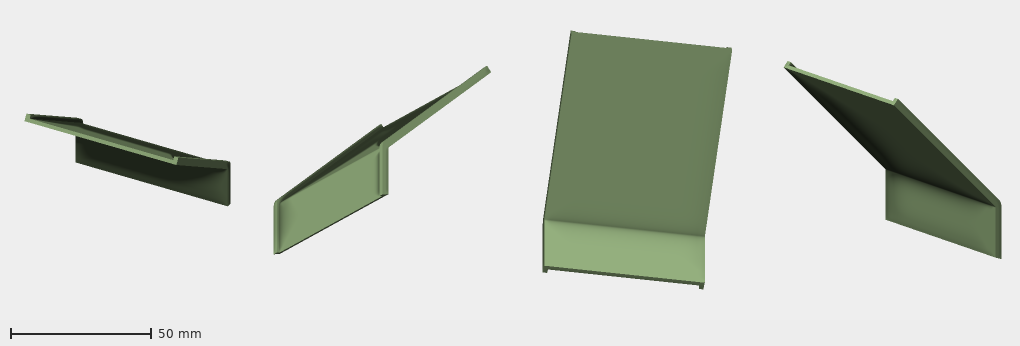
import cadquery as cq
import math

WIDTH = 58.5
RAIL_WIDTH = 1.63
RAIL_THICKNESS = 2.78
WEB_THICKNESS = 1.37
INNER_BEND_RADIUS = 0.8
INNER_LEG_LENGTH = 19.075
INNER_SLOPE_LENGTH = 69.49
SLOPE_ANGLE = math.radians(45)

HALF_BEND = SLOPE_ANGLE / 2


def offset_path(offset):
    """Foot, bend corner and top end of the inner face moved outwards by offset, as (y, z)."""
    miter_rise = offset * math.tan(HALF_BEND)
    foot = (offset, -INNER_LEG_LENGTH - miter_rise)
    corner = (offset, miter_rise)
    top = (
        -INNER_SLOPE_LENGTH * math.sin(SLOPE_ANGLE) + offset * math.cos(SLOPE_ANGLE),
        INNER_SLOPE_LENGTH * math.cos(SLOPE_ANGLE) + offset * math.sin(SLOPE_ANGLE),
    )
    return foot, corner, top


def bend_points(corner, radius):
    """Start, middle and end of the arc that rounds the bend corner, from leg to slope."""
    y, z = corner
    tangent_length = radius * math.tan(HALF_BEND)
    center_y = y - radius
    start_z = z - tangent_length

    def on_arc(angle):
        return (center_y + radius * math.cos(angle), start_z + radius * math.sin(angle))

    return on_arc(0), on_arc(HALF_BEND), on_arc(SLOPE_ANGLE)


def bent_strip(thickness, width, x_start):
    """Bent sheet of the given thickness, measured outwards from the inner face."""
    inner_foot, inner_corner, inner_top = offset_path(0)
    outer_foot, outer_corner, outer_top = offset_path(thickness)
    inner_start, inner_mid, inner_end = bend_points(inner_corner, INNER_BEND_RADIUS)
    outer_start, outer_mid, outer_end = bend_points(outer_corner, INNER_BEND_RADIUS + thickness)
    return (
        cq.Workplane("YZ", origin=(x_start, 0, 0))
        .moveTo(*outer_foot)
        .lineTo(*outer_start)
        .threePointArc(outer_mid, outer_end)
        .lineTo(*outer_top)
        .lineTo(*inner_top)
        .lineTo(*inner_end)
        .threePointArc(inner_mid, inner_start)
        .lineTo(*inner_foot)
        .close()
        .extrude(width)
    )


result = bent_strip(WEB_THICKNESS, WIDTH, -WIDTH / 2)
for rail_start in (-WIDTH / 2, WIDTH / 2 - RAIL_WIDTH):
    result = result.union(bent_strip(RAIL_THICKNESS, RAIL_WIDTH, rail_start))
result = result.clean()